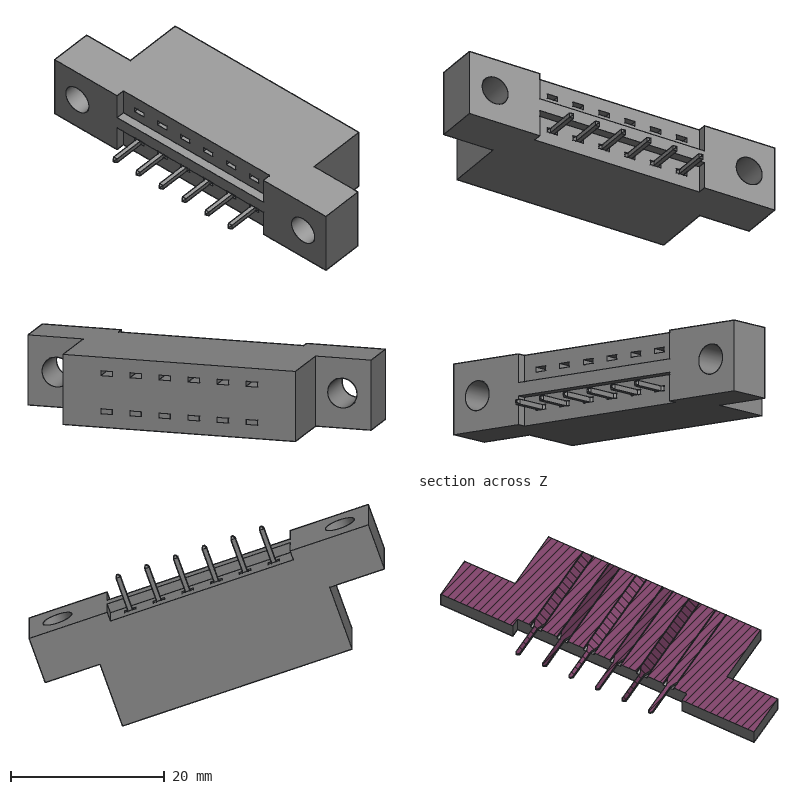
import cadquery as cq

LENGTH = 46.8
HEIGHT = 9.4
DEPTH = 15.25
FLANGE_DEPTH = 6.35
BLOCK_LENGTH = 31.7

HOLE_DIAMETER = 4.0
HOLE_SPACING = 38.95

RECESS_LENGTH = 25.2
RECESS_DEPTH = 1.25
RIB_HEIGHT = 1.8

CONTACT_COUNT = 6
ROW_LENGTH = 19.8
ROW_SPACING = 5.1
SLOT_WIDTH = 1.6
SLOT_HEIGHT = 0.65

PIN_PROTRUSION = 3.8
PIN_WIDTH = 0.6
SIDE_CLEARANCE = 0.05
BLADE_WIDTH = SLOT_WIDTH - 2 * SIDE_CLEARANCE
CONTACT_THICKNESS = SLOT_HEIGHT
SHOULDER_LENGTH = 1.1
TIP_LENGTH = 0.35
TIP_BEVEL = 0.2

PITCH = ROW_LENGTH / (CONTACT_COUNT - 1)
CONTACT_X = [i * PITCH - ROW_LENGTH / 2 for i in range(CONTACT_COUNT)]
LOWER_ROW_Z = -ROW_SPACING / 2
UPPER_ROW_Z = ROW_SPACING / 2


def box_from_front(length, depth, height):
    """Box centred in X and Z that runs back from the front face."""
    return cq.Workplane("XY").box(length, depth, height).translate((0, depth / 2, 0))


def make_housing():
    flange = box_from_front(LENGTH, FLANGE_DEPTH, HEIGHT)
    block = box_from_front(BLOCK_LENGTH, DEPTH, HEIGHT)
    recess_band = box_from_front(RECESS_LENGTH, RECESS_DEPTH, HEIGHT)
    rib = box_from_front(RECESS_LENGTH, RECESS_DEPTH, RIB_HEIGHT)

    hole = cq.Workplane("XZ").circle(HOLE_DIAMETER / 2).extrude(-FLANGE_DEPTH)
    slot = box_from_front(SLOT_WIDTH, DEPTH, SLOT_HEIGHT)

    housing = flange.union(block).cut(recess_band.cut(rib))
    for side in (-1, 1):
        housing = housing.cut(hole.translate((side * HOLE_SPACING / 2, 0, 0)))
    for x in CONTACT_X:
        for z in (LOWER_ROW_Z, UPPER_ROW_Z):
            housing = housing.cut(slot.translate((x, 0, z)))
    return housing


def make_contact(x):
    shoulder_front = RECESS_DEPTH
    shoulder_back = shoulder_front + SHOULDER_LENGTH
    tip_start = TIP_LENGTH - PIN_PROTRUSION

    body = (
        cq.Workplane("XY")
        .moveTo(-PIN_WIDTH / 2, tip_start)
        .lineTo(-PIN_WIDTH / 2, shoulder_front)
        .lineTo(-BLADE_WIDTH / 2, shoulder_back)
        .lineTo(-BLADE_WIDTH / 2, DEPTH)
        .lineTo(BLADE_WIDTH / 2, DEPTH)
        .lineTo(BLADE_WIDTH / 2, shoulder_back)
        .lineTo(PIN_WIDTH / 2, shoulder_front)
        .lineTo(PIN_WIDTH / 2, tip_start)
        .close()
        .extrude(CONTACT_THICKNESS / 2, both=True)
    )
    tip = (
        cq.Workplane("XZ", origin=(0, tip_start, 0))
        .rect(PIN_WIDTH, CONTACT_THICKNESS)
        .workplane(offset=TIP_LENGTH)
        .rect(PIN_WIDTH - 2 * TIP_BEVEL, CONTACT_THICKNESS - 2 * TIP_BEVEL)
        .loft()
    )
    return body.union(tip).translate((x, 0, LOWER_ROW_Z))


housing = make_housing()
contacts = [make_contact(x).val() for x in CONTACT_X]

result = cq.Compound.makeCompound([housing.val(), *contacts])